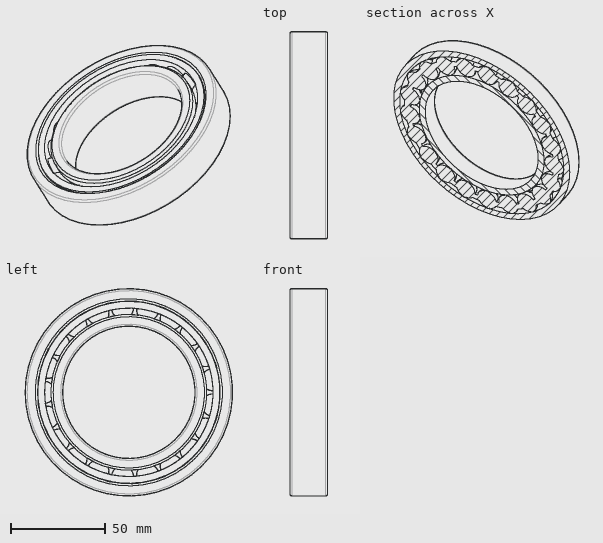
import cadquery as cq
import math

WIDTH = 20.01
OUTER_RADIUS = 55.0
BORE_RADIUS = 35.0
HALF_WIDTH = WIDTH / 2

OUTER_CORNER_FRONT = 1.1
OUTER_CORNER_BACK = 1.0
BORE_CORNER = 1.1

INNER_SHOULDER_RADIUS = 41.3
OUTER_SHOULDER_RADIUS = 48.4
SHOULDER_CHAMFER = 1.2
INNER_FACE_RADIUS = INNER_SHOULDER_RADIUS - SHOULDER_CHAMFER
OUTER_FACE_RADIUS = OUTER_SHOULDER_RADIUS + SHOULDER_CHAMFER
CHAMFER_START = HALF_WIDTH - SHOULDER_CHAMFER

BALL_COUNT = 21
BALL_DIAMETER = 11.9
BALL_RADIUS = BALL_DIAMETER / 2
PITCH_RADIUS = (OUTER_RADIUS + BORE_RADIUS) / 2
GROOVE_CONFORMITY = 0.52
GROOVE_RADIUS = GROOVE_CONFORMITY * BALL_DIAMETER
GROOVE_OFFSET = GROOVE_RADIUS - BALL_RADIUS

CAGE_CLEARANCE = 0.15
CAGE_OUTER_RADIUS = OUTER_SHOULDER_RADIUS - CAGE_CLEARANCE
CAGE_INNER_RADIUS = 44.6
CAGE_WIDTH = 19.6


def revolve_about_x(profile):
    """Close a profile drawn as (axial, radial) points and revolve it about the bearing axis."""
    return profile.close().revolve(360, (0, 0, 0), (1, 0, 0))


def raceway(centre_radius):
    """Torus that cuts a ball groove; its tube centre lies at centre_radius."""
    return (
        cq.Workplane("XY")
        .center(0, centre_radius)
        .circle(GROOVE_RADIUS)
        .revolve(360, (0, -centre_radius, 0), (1, -centre_radius, 0))
    )


def make_outer_ring():
    """Outer ring with rounded outer corners, chamfered shoulders and a ball groove."""
    ring = revolve_about_x(
        cq.Workplane("XY")
        .moveTo(-HALF_WIDTH, OUTER_FACE_RADIUS)
        .lineTo(-HALF_WIDTH, OUTER_RADIUS - OUTER_CORNER_FRONT)
        .radiusArc((-HALF_WIDTH + OUTER_CORNER_FRONT, OUTER_RADIUS), OUTER_CORNER_FRONT)
        .lineTo(HALF_WIDTH - OUTER_CORNER_BACK, OUTER_RADIUS)
        .radiusArc((HALF_WIDTH, OUTER_RADIUS - OUTER_CORNER_BACK), OUTER_CORNER_BACK)
        .lineTo(HALF_WIDTH, OUTER_FACE_RADIUS)
        .lineTo(CHAMFER_START, OUTER_SHOULDER_RADIUS)
        .lineTo(-CHAMFER_START, OUTER_SHOULDER_RADIUS)
    )
    return ring.cut(raceway(PITCH_RADIUS - GROOVE_OFFSET)).solids()


def make_inner_ring():
    """Inner ring with rounded bore corners, chamfered shoulders and a ball groove."""
    ring = revolve_about_x(
        cq.Workplane("XY")
        .moveTo(-HALF_WIDTH, BORE_RADIUS + BORE_CORNER)
        .lineTo(-HALF_WIDTH, INNER_FACE_RADIUS)
        .lineTo(-CHAMFER_START, INNER_SHOULDER_RADIUS)
        .lineTo(CHAMFER_START, INNER_SHOULDER_RADIUS)
        .lineTo(HALF_WIDTH, INNER_FACE_RADIUS)
        .lineTo(HALF_WIDTH, BORE_RADIUS + BORE_CORNER)
        .radiusArc((HALF_WIDTH - BORE_CORNER, BORE_RADIUS), BORE_CORNER)
        .lineTo(-HALF_WIDTH + BORE_CORNER, BORE_RADIUS)
        .radiusArc((-HALF_WIDTH, BORE_RADIUS + BORE_CORNER), BORE_CORNER)
    )
    return ring.cut(raceway(PITCH_RADIUS + GROOVE_OFFSET)).solids()


def make_ball_cage():
    """Cage ring and its evenly spaced balls as one solid, with one ball on the +Y axis."""
    cage = (
        cq.Workplane("YZ")
        .circle(CAGE_OUTER_RADIUS)
        .circle(CAGE_INNER_RADIUS)
        .extrude(CAGE_WIDTH / 2, both=True)
    )
    for index in range(BALL_COUNT):
        angle = index * 2 * math.pi / BALL_COUNT
        position = (0, PITCH_RADIUS * math.cos(angle), PITCH_RADIUS * math.sin(angle))
        cage = cage.union(cq.Workplane("XY").sphere(BALL_RADIUS).translate(position))
    return cage.solids()


outer_ring = make_outer_ring()
inner_ring = make_inner_ring()
ball_cage = make_ball_cage()

result = cq.Compound.makeCompound([outer_ring.val(), inner_ring.val(), ball_cage.val()])